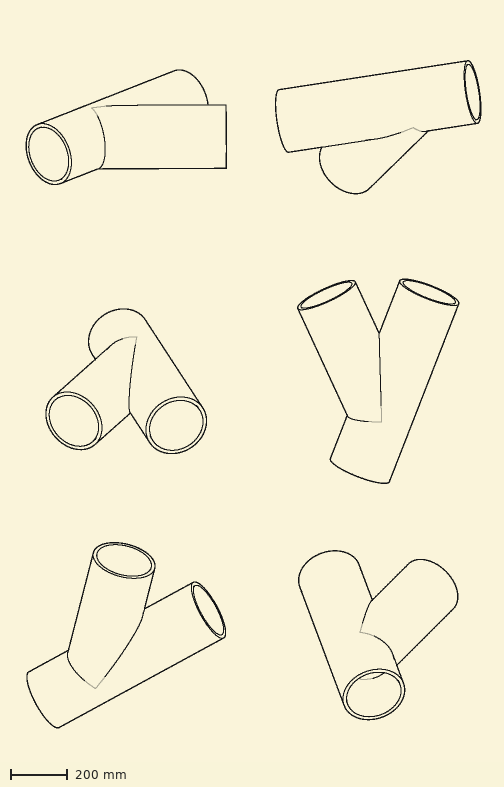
import cadquery as cq
import math

run_length = 692.0
outer_diameter = 225.0
bore_diameter = 198.0
run_below_junction = 217.0
branch_length = 475.5
branch_angle = 45.0

run_start = cq.Vector(0, -run_below_junction, 0)
run_direction = cq.Vector(0, 1, 0)
junction = cq.Vector(0, 0, 0)
branch_direction = cq.Vector(
    math.sin(math.radians(branch_angle)),
    math.cos(math.radians(branch_angle)),
    0,
)


def pipe_tee(diameter):
    """Solid union of the run and branch cylinders at one diameter."""
    radius = diameter / 2
    run = cq.Solid.makeCylinder(radius, run_length, run_start, run_direction)
    branch = cq.Solid.makeCylinder(radius, branch_length, junction, branch_direction)
    return cq.Workplane(obj=run).union(cq.Workplane(obj=branch))


result = pipe_tee(outer_diameter).cut(pipe_tee(bore_diameter))